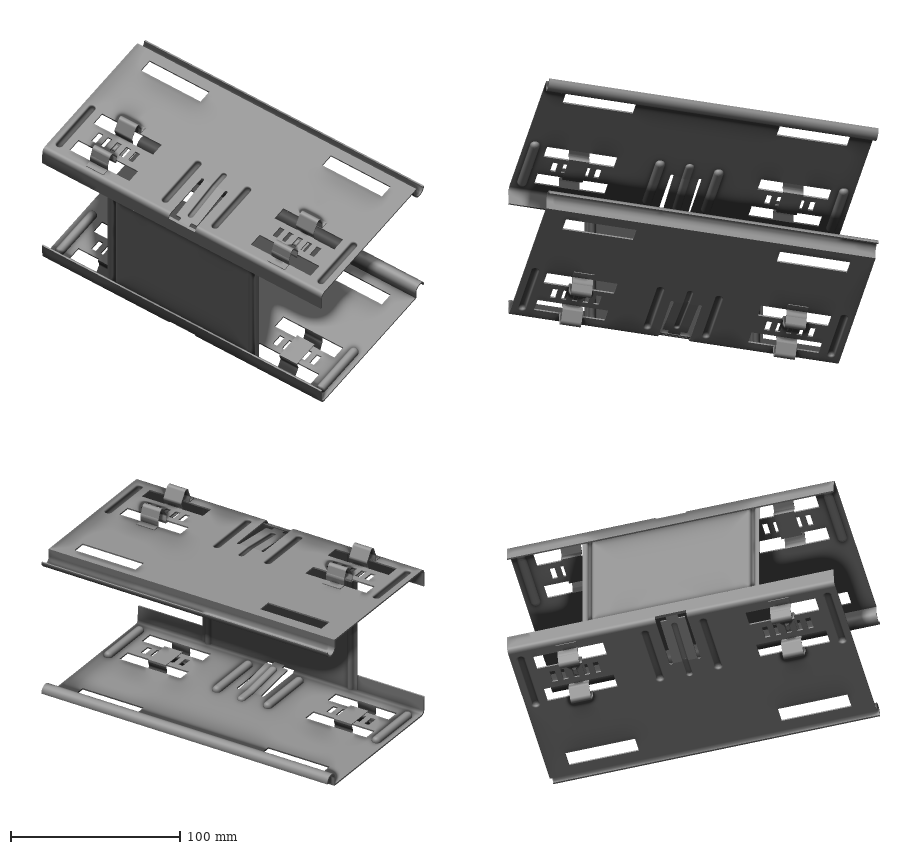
import cadquery as cq
import math

length = 200.0
half_height = 50.0
sheet = 1.0
depth = 108.2

flange_drop = 12.2
flange_tilt = math.radians(3)
bend_radius = 2.2
hook_radius = 4.5
hook_drop = 5.0

clip_x = 65.0
clip_y = 26.2
slot_length = 42.8
slot_width = 9.2
slot_offset = 12.5
rear_slot_y = 88.5
vent_count = 5
vent_pitch = 6.5
vent_width = 3.2
vent_length = 7.8

bead_form = (0.3, 1.5, 1.5, 1.0)
slim_bead_form = (0.8, 0.8, 1.0, 0.5)
bead_xs = (-93.8, -17.8, 17.8, 93.8)
bead_front, bead_back = 6.5, 46.5
slim_bead_front, slim_bead_back = 7.5, 46.8

window_width = 19.0
tongue_width = 15.0
tip_width = 7.2
hinge_y = 34.8
shoulder_y = 5.2
relief_overrun = 0.5
tongue_angle = 6.5

panel_width = 108.0
panel_half_height = 46.8
panel_lip = 1.2
groove_half_width = 3.0
groove_depth = 2.0

spring = 0.5
clip_width = 12.5
waist = 9.0
elbow_reach, elbow_height = 8.0, 3.2
elbow_half_height, elbow_inset = 0.8, 0.2
apex_reach, apex_height = 13.5, 10.5
crown_half_width, crown_sag = 1.8, 1.0
knee_top, knee_bottom = 5.2, 3.5
knee_inset = 0.5
leg_reach = 17.5
leg_undercut = 0.2
foot_reach = 22.0
pip_width, pip_length = 2.8, 4.8
pip_chamfer = 0.5

mid_sheet = half_height - sheet / 2
inner_face = half_height - sheet
outer_bend = bend_radius + sheet
bend_z = half_height - outer_bend
lip_z = half_height - flange_drop
tangent_z = bend_z + outer_bend * math.sin(flange_tilt)
bend_y = (tangent_z - lip_z) * math.tan(flange_tilt) + outer_bend * math.cos(flange_tilt)
panel_front = bend_y - bend_radius
panel_back = panel_front + sheet


def box(x, y_front, y_back, z_low, z_high, width):
    """Block centred on x."""
    return (cq.Workplane("XY").box(width, y_back - y_front, z_high - z_low, centered=(True, False, False))
            .translate((x, y_front, z_low)))


def plate_sheet():
    """Bent sheet with a hook at the back and a flared flange at the front, swept along its mid-line."""
    mid_hook = hook_radius - sheet / 2
    mid_bend = bend_radius + sheet / 2
    hook_y = depth - hook_radius
    hook_z = half_height - hook_drop
    start = (hook_y + mid_hook, hook_z)

    def on_bend(angle):
        return (bend_y + mid_bend * math.cos(angle), bend_z + mid_bend * math.sin(angle))

    bend_end = math.pi - flange_tilt
    end_y, end_z = on_bend(bend_end)
    path = (cq.Workplane("YZ").moveTo(*start)
            .threePointArc((hook_y, hook_z - mid_hook), (hook_y - mid_hook, hook_z))
            .lineTo(hook_y - mid_hook, mid_sheet)
            .lineTo(bend_y, mid_sheet)
            .threePointArc(on_bend((math.pi / 2 + bend_end) / 2), (end_y, end_z))
            .lineTo(end_y - (end_z - lip_z) * math.tan(flange_tilt), lip_z))
    return (cq.Workplane("XY", origin=(0, *start)).rect(length, sheet)
            .sweep(path, transition="right"))


def bead_solid(half_section, centre_span):
    """Round-ended bar along Y from a half section below Z = 0, centred on the origin."""
    bar = half_section(cq.Workplane("XZ")).extrude(centre_span / 2, both=True)
    bar = bar.union(bar.mirror("YZ"))
    for end in (-centre_span / 2, centre_span / 2):
        cap = half_section(cq.Workplane("XZ")).revolve(360, (0, 0, 0), (0, 1, 0))
        bar = bar.union(cap.translate((0, end, 0)))
    return bar


def bead(form, front, back):
    """Bulge and trough of one bead whose mouth runs from front to back."""
    floor, radius, centre_depth, mouth = form
    side = floor + radius
    span = back - front - 2 * (side + mouth)
    skin = radius + sheet
    diagonal = math.sqrt(0.5)

    def bulge_section(plane):
        return (plane.lineTo(floor + skin, 0).lineTo(floor + skin, -centre_depth)
                .threePointArc((floor + skin * diagonal, -centre_depth - skin * diagonal),
                               (floor, -centre_depth - skin))
                .lineTo(0, -centre_depth - skin)
                .close())

    def trough_section(plane):
        return (plane.lineTo(side + mouth, 0)
                .threePointArc((side + mouth * (1 - diagonal), -mouth * (1 - diagonal)), (side, -mouth))
                .lineTo(side, -centre_depth)
                .threePointArc((floor + radius * diagonal, -centre_depth - radius * diagonal),
                               (floor, -centre_depth - radius))
                .lineTo(0, -centre_depth - radius)
                .close())

    middle = (front + back) / 2
    bulge = bead_solid(bulge_section, span).translate((0, middle, half_height))
    trough = bead_solid(trough_section, span).translate((0, middle, half_height))
    return bulge, trough


def press_bead(body, x, form, front, back):
    bulge, trough = bead(form, front, back)
    return body.union(bulge.translate((x, 0, 0))).cut(trough.translate((x, 0, 0)))


def clip_openings():
    """Slots and vents around both clip stations."""
    cuts = cq.Workplane("XY")
    for x in (-clip_x, clip_x):
        for y in (clip_y - slot_offset, clip_y + slot_offset, rear_slot_y):
            cuts = cuts.add(box(x, y - slot_width / 2, y + slot_width / 2, inner_face, half_height, slot_length))
        for i in range(vent_count):
            vent_x = x + (i - (vent_count - 1) / 2) * vent_pitch
            cuts = cuts.add(box(vent_x, clip_y - vent_length / 2, clip_y + vent_length / 2,
                                inner_face, half_height, vent_width))
    return cuts.combine()


def latch_window():
    """Window through the plate and the flange bend, with round-ended reliefs beside the hinge."""
    window = box(0, 0, hinge_y, tangent_z, half_height, window_width)
    relief_radius = (window_width - tongue_width) / 4
    relief_y = hinge_y + relief_overrun - relief_radius
    for side in (-1, 1):
        relief_x = side * (window_width + tongue_width) / 4
        relief = cq.Workplane("XY", origin=(relief_x, relief_y, inner_face)).circle(relief_radius).extrude(sheet)
        window = window.union(relief)
    return window.union(box(0, bend_y, hinge_y, lip_z, half_height, tongue_width))


def latch_tongue():
    """Beaded tongue bent inward about the hinge until its tip meets the panel."""
    angle = math.radians(tongue_angle)
    reach = (hinge_y - panel_back) / math.cos(angle)
    tip_y = hinge_y - reach
    tongue = box(0, shoulder_y, hinge_y, inner_face, half_height, tongue_width)
    tongue = tongue.union(box(0, tip_y, hinge_y, inner_face, half_height, tip_width))
    tongue = press_bead(tongue, 0, slim_bead_form, slim_bead_front, slim_bead_back)
    tongue = tongue.intersect(box(0, 0, hinge_y, 0, half_height, tongue_width))
    return tongue.rotate((0, hinge_y, half_height), (1, hinge_y, half_height), tongue_angle)


def make_upper_plate():
    plate = plate_sheet()
    for x in bead_xs:
        plate = press_bead(plate, x, bead_form, bead_front, bead_back)
    plate = press_bead(plate, 0, slim_bead_form, slim_bead_front, slim_bead_back)
    return plate.cut(clip_openings()).cut(latch_window()).union(latch_tongue())


def make_panel():
    """Flat panel with a rounded groove along each upright edge."""
    edge = panel_width / 2
    groove_x = edge - panel_lip - groove_half_width
    slope = 2 * math.atan(groove_depth / groove_half_width)
    arc_radius = groove_half_width / (2 * math.sin(slope))
    half_x = arc_radius * math.sin(slope / 2)
    half_y = arc_radius * (1 - math.cos(slope / 2))
    mid_y = panel_front + sheet / 2

    def grooved(path, x):
        """Continue the mid-line through a groove centred on x."""
        start, end = x - groove_half_width, x + groove_half_width
        return (path.lineTo(start, mid_y)
                .threePointArc((start + half_x, mid_y + half_y),
                               (x - groove_half_width / 2, mid_y + groove_depth / 2))
                .threePointArc((x, mid_y + groove_depth),
                               (x + groove_half_width / 2, mid_y + groove_depth / 2))
                .threePointArc((end - half_x, mid_y + half_y), (end, mid_y)))

    path = cq.Workplane("XY").moveTo(-edge, mid_y)
    path = grooved(path, -groove_x)
    path = grooved(path, groove_x).lineTo(edge, mid_y)
    return (cq.Workplane("YZ", origin=(-edge, mid_y, 0)).rect(sheet, 2 * panel_half_height)
            .sweep(path, transition="right"))


def make_upper_clip(x):
    """Strip under the plate that rises through both slots into two humps and rests its feet on the plate."""
    low = inner_face - spring / 2
    high = half_height + spring / 2
    elbow_z = half_height + elbow_height
    apex = half_height + apex_height - spring / 2
    path = (cq.Workplane("YZ").moveTo(0, low)
            .lineTo(waist, low)
            .lineTo(waist, half_height)
            .lineTo(elbow_reach + elbow_inset, elbow_z - elbow_half_height)
            .threePointArc((elbow_reach, elbow_z), (elbow_reach + elbow_inset, elbow_z + elbow_half_height))
            .lineTo(apex_reach - crown_half_width, apex - crown_sag)
            .threePointArc((apex_reach, apex), (apex_reach + crown_half_width, apex - crown_sag))
            .lineTo(leg_reach - knee_inset, half_height + knee_top)
            .threePointArc((leg_reach - knee_inset / 4, half_height + (knee_top + knee_bottom) / 2),
                           (leg_reach, half_height + knee_bottom))
            .lineTo(leg_reach - leg_undercut, high)
            .lineTo(foot_reach, high))
    half = cq.Workplane("XZ", origin=(0, 0, low)).rect(clip_width, spring).sweep(path, transition="right")
    pip = box(0, -pip_length / 2, pip_length / 2, low, half_height, pip_width)
    pip = pip.faces(">Z").edges().chamfer(pip_chamfer)
    return half.union(half.mirror("XZ")).union(pip).translate((x, clip_y, 0))


upper_plate = make_upper_plate()
upper_clips = [make_upper_clip(x) for x in (-clip_x, clip_x)]
panel = make_panel()

bodies = [panel.val()]
for upper_body in [upper_plate, *upper_clips]:
    bodies.append(upper_body.val())
    bodies.append(upper_body.mirror("XY").val())

result = cq.Compound.makeCompound(bodies)